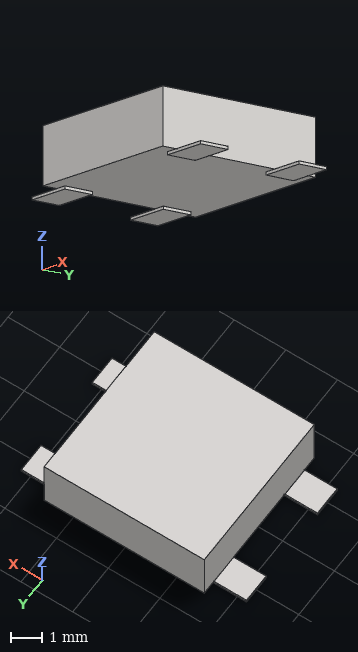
import cadquery as cq

overall_length = 8.72
overall_height = 2.1
body_side = 6.2
lead_length = 1.71
lead_width = 1.12
lead_thickness = 0.105
lead_pitch = 3.99

body_height = overall_height - lead_thickness
lead_center_x = (overall_length - lead_length) / 2
lead_center_y = lead_pitch / 2


def make_body():
    """Square block resting on top of the leads."""
    return (
        cq.Workplane("XY")
        .workplane(offset=lead_thickness)
        .box(body_side, body_side, body_height, centered=(True, True, False))
    )


def make_lead(x, y):
    """Flat lead on the base plane, tucked partly under the body."""
    return (
        cq.Workplane("XY")
        .center(x, y)
        .box(lead_length, lead_width, lead_thickness, centered=(True, True, False))
    )


body = make_body()

leads = []
for x_side in (-1, 1):
    for y_side in (-1, 1):
        leads.append(make_lead(x_side * lead_center_x, y_side * lead_center_y))

result = cq.Compound.makeCompound([body.val(), *[lead.val() for lead in leads]])